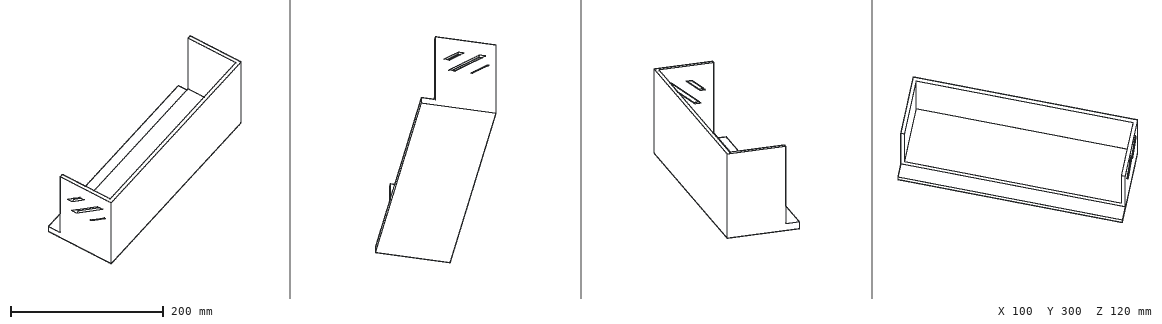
import cadquery as cq

depth = 100.0
length = 300.0
height = 120.0

wall = 5.0
lip_height = 10.0
lip_width = 19.0
floor_top = 20.0

slot_run_per_rise = 1.22
slot_top = 98.5
slot_middle = 82.8
slot_bottom = 64.8
slots = [
    (30.5, 7.2, slot_middle, slot_top),
    (37.0, 8.0, slot_bottom, slot_top),
    (66.5, 1.8, slot_bottom, slot_middle),
]


def make_tray():
    """Box open at the top and along -X, with a low lip along its open side."""
    body_depth = depth - lip_width
    lip = cq.Workplane("XY").box(depth, length, lip_height, centered=False)
    body = (
        cq.Workplane("XY")
        .box(body_depth, length, height, centered=False)
        .translate((lip_width, 0, 0))
    )
    cavity = (
        cq.Workplane("XY")
        .box(body_depth - wall, length - 2 * wall, height - floor_top, centered=False)
        .translate((lip_width, wall, floor_top))
    )
    return lip.union(body).cut(cavity)


def make_slot(left, width, low, high):
    """Slanted parallelogram that passes through the end wall only."""
    run = slot_run_per_rise * (high - low)
    corners = [
        (left, low),
        (left + width, low),
        (left + width + run, high),
        (left + run, high),
    ]
    return cq.Workplane("XZ").polyline(corners).close().extrude(-wall)


result = make_tray()
for slot in slots:
    result = result.cut(make_slot(*slot))